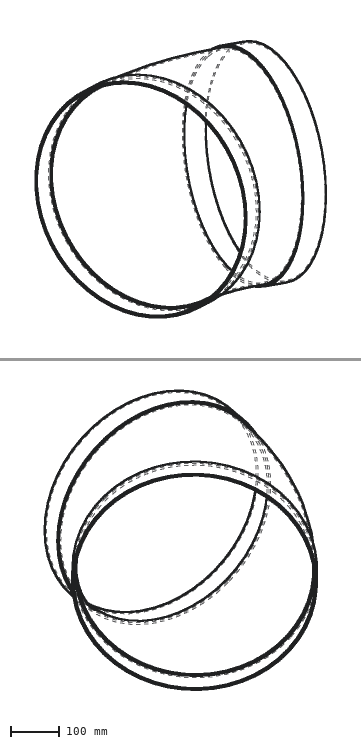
import cadquery as cq

bend_angle = 30.0
pipe_diameter = 500.0
collar_step = 4.1
wall = 4.25
collar_length = 54.0

pipe_bore = pipe_diameter - 2 * wall
collar_diameter = pipe_diameter + 2 * collar_step
collar_bore = collar_diameter - 2 * wall
bend_radius = pipe_diameter


def ring(plane, outer_diameter, inner_diameter):
    """Annular profile centred on the given plane."""
    return cq.Workplane(plane).circle(outer_diameter / 2).circle(inner_diameter / 2)


inlet_plane = cq.Plane(origin=(0, 0, 0), xDir=(1, 0, 0), normal=(0, 1, 0))
inlet_collar = ring(inlet_plane, collar_diameter, collar_bore).extrude(collar_length)

bend_plane = cq.Plane(origin=(0, collar_length, 0), xDir=(1, 0, 0), normal=(0, 1, 0))
bend = ring(bend_plane, pipe_diameter, pipe_bore).revolve(
    bend_angle, (bend_radius, 0, 0), (bend_radius, 1, 0)
)

bend_centre = (bend_radius, collar_length, 0)
bend_axis_end = (bend_radius, collar_length, 1)
outlet_collar = (
    inlet_collar.translate((0, collar_length, 0))
    .rotate(bend_centre, bend_axis_end, -bend_angle)
)

result = inlet_collar.union(bend).union(outlet_collar)